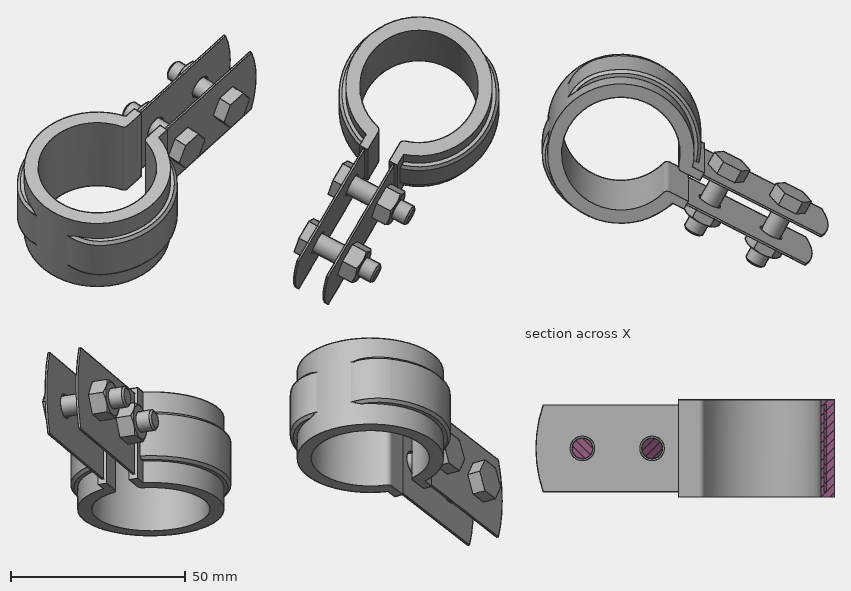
import cadquery as cq
import math

bore_radius = 17.0
liner_radius = 21.0
liner_height = 28.0
belt_radius = 23.0
belt_width = 14.7
belt_chamfer = 0.9
belt_tail_radius = 13.7
belt_tail_start = 44.5
belt_tail_end_x = 6.9
belt_foot_x = 5.75
lip_top_y = 23.9
slot_half_width = 3.5
slot_fillet = 1.5

strap_thickness = 0.6
strap_cover = 1.0
strap_width = 25.0
leg_tip_y = 64.8
leg_tip_radius = 38.2

bolt_ys = (31.4, 51.4)
bolt_diameter = 6.0
bolt_tip_diameter = 4.9
bolt_length = 20.0
bolt_hole_diameter = 7.0
hex_sides = 6
hex_across_flats = 10.05
head_height = 4.0
nut_height = 5.1
nut_face_diameter = 9.9
nut_chamfer_angle = 30

leg_inner_x = slot_half_width + strap_cover
leg_outer_x = leg_inner_x + strap_thickness
lip_outer_x = leg_outer_x + strap_cover
strap_inner_radius = bore_radius + strap_cover
strap_outer_radius = strap_inner_radius + strap_thickness
hex_across_corners = hex_across_flats / math.cos(math.pi / hex_sides)


def box_between(x0, x1, y0, y1, height):
    """A box between two corners in XY, centred on Z = 0."""
    return (
        cq.Workplane("XY")
        .center((x0 + x1) / 2, (y0 + y1) / 2)
        .rect(x1 - x0, y1 - y0)
        .extrude(height / 2, both=True)
    )


def both_sides(body):
    """The body joined with its mirror image across the YZ plane."""
    return body.union(body.mirror("YZ"))


def cylinder_z(radius, height):
    return cq.Workplane("XY").circle(radius).extrude(height / 2, both=True)


def belt_sweep(outer_radius, start_angle, sweep_angle):
    """The chamfered belt section turned about Z, starting at an angle measured from +X."""
    inner_radius = outer_radius - (belt_radius - bore_radius)
    half = belt_width / 2
    return (
        cq.Workplane("XZ")
        .moveTo(inner_radius, -half)
        .lineTo(outer_radius - belt_chamfer, -half)
        .lineTo(outer_radius, belt_chamfer - half)
        .lineTo(outer_radius, half - belt_chamfer)
        .lineTo(outer_radius - belt_chamfer, half)
        .lineTo(inner_radius, half)
        .close()
        .revolve(sweep_angle, (0, 0), (0, 1))
        .rotate((0, 0, 0), (0, 0, 1), start_angle)
    )


def make_belt():
    """Belt round the liner; each end curves inward on a tighter arc and runs out flat on the liner."""
    start = math.radians(belt_tail_start)
    tail_center_x = (belt_radius - belt_tail_radius) * math.cos(start)
    tail_center_y = -(belt_radius - belt_tail_radius) * math.sin(start)
    tail_end = math.acos((belt_tail_end_x - tail_center_x) / belt_tail_radius)
    tail_end_y = tail_center_y - belt_tail_radius * math.sin(tail_end)
    tail_sweep = math.degrees(tail_end) - belt_tail_start

    main = belt_sweep(belt_radius, -belt_tail_start, 180 + 2 * belt_tail_start)
    tail = belt_sweep(belt_tail_radius, -math.degrees(tail_end), tail_sweep)
    tail = tail.translate((tail_center_x, tail_center_y, 0))
    foot = (
        cq.Workplane("XY")
        .moveTo(belt_tail_end_x, -bore_radius)
        .lineTo(belt_tail_end_x, tail_end_y)
        .lineTo(belt_foot_x, -math.sqrt(liner_radius**2 - belt_foot_x**2))
        .lineTo(belt_foot_x, -bore_radius)
        .close()
        .extrude(belt_width / 2 - belt_chamfer, both=True)
    )
    return main.union(both_sides(tail.union(foot)))


def make_strap():
    band = cylinder_z(strap_outer_radius, strap_width).cut(cylinder_z(strap_inner_radius, strap_width))
    leg_start_y = math.sqrt(strap_outer_radius**2 - leg_outer_x**2)
    legs = both_sides(box_between(leg_inner_x, leg_outer_x, leg_start_y, leg_tip_y, strap_width))
    tip_round = (
        cq.Workplane("YZ")
        .center(leg_tip_y - leg_tip_radius, 0)
        .circle(leg_tip_radius)
        .extrude(leg_outer_x, both=True)
    )
    opening = box_between(-leg_inner_x, leg_inner_x, 0, leg_tip_y, strap_width)
    holes = (
        cq.Workplane("YZ")
        .pushPoints([(y, 0) for y in bolt_ys])
        .circle(bolt_hole_diameter / 2)
        .extrude(leg_outer_x, both=True)
    )
    return band.cut(opening).union(legs.intersect(tip_round)).cut(holes)


def make_liner(strap):
    ring = cylinder_z(liner_radius, liner_height)
    lips = box_between(-lip_outer_x, lip_outer_x, 0, lip_top_y, liner_height)
    slot = box_between(-slot_half_width, slot_half_width, 0, lip_top_y, liner_height)
    body = ring.union(lips).union(make_belt()).cut(cylinder_z(bore_radius, liner_height)).cut(slot)
    slot_corner_y = math.sqrt(bore_radius**2 - slot_half_width**2)
    for side in (-1, 1):
        corner = cq.selectors.NearestToPointSelector((side * slot_half_width, slot_corner_y, 0))
        body = body.edges("|Z").edges(corner).fillet(slot_fillet)
    return body.cut(strap)


def make_bolt(y):
    """Hex bolt with its head against the +X leg and its tip toward -X."""
    tip_x = leg_outer_x - bolt_length
    tip_chamfer = (bolt_diameter - bolt_tip_diameter) / 2
    head = (
        cq.Workplane("YZ", origin=(leg_outer_x, y, 0))
        .polygon(hex_sides, hex_across_corners)
        .extrude(head_height)
    )
    shank = (
        cq.Workplane("YZ", origin=(tip_x, y, 0))
        .circle(bolt_diameter / 2)
        .extrude(bolt_length)
        .faces("<X")
        .chamfer(tip_chamfer)
    )
    return head.union(shank)


def make_nut(y):
    """Hex nut against the -X leg, with its outer corners turned to a cone."""
    face_radius = nut_face_diameter / 2
    cone_radius = face_radius + nut_height / math.tan(math.radians(nut_chamfer_angle))
    outer_face = cq.Workplane("YZ", origin=(-leg_outer_x - nut_height, y, 0))
    cone = cq.Workplane(cq.Solid.makeCone(
        face_radius, cone_radius, nut_height, outer_face.plane.origin, cq.Vector(1, 0, 0)
    ))
    bore = outer_face.circle(bolt_diameter / 2).extrude(nut_height)
    return outer_face.polygon(hex_sides, hex_across_corners).extrude(nut_height).intersect(cone).cut(bore)


strap = make_strap()
liner = make_liner(strap)
bolts = [make_bolt(y) for y in bolt_ys]
nuts = [make_nut(y) for y in bolt_ys]

result = cq.Compound.makeCompound(
    [liner.val(), strap.val(), *[bolt.val() for bolt in bolts], *[nut.val() for nut in nuts]]
)